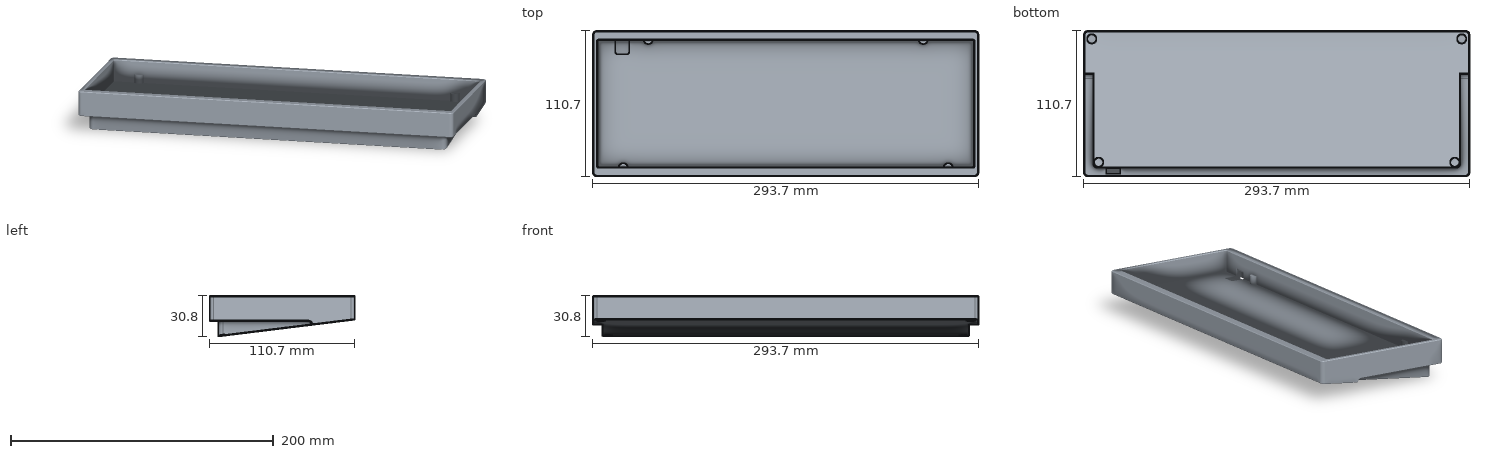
import cadquery as cq
import math

length = 293.7
width = 110.7
height = 30.82
corner_radius = 3.0
edge_chamfer = 0.5
rear_body_height = 19.2

foot_side_inset = 7.0
foot_rear_inset = 6.5
foot_corner_radius = 3.5
foot_overlap = 8.0
tilt = math.radians(7.0)
recess_end_y = -22.5
recess_end_radius = 3.0

side_wall = 3.5
end_wall = 7.0
cavity_depth = 17.0
cavity_corner_radius = 1.0

post_diameter = 7.0
post_edge_distance = 6.5
post_height = 6.5
rear_post_x = 104.75
front_post_x = 123.75

port_width = 10.7
port_x = -124.5
port_reach = 10.8
port_floor_drop = 1.0
port_recess_height = 6.0
port_recess_depth = 1.0
duct_height = 4.5
duct_depth = 4.5
port_corner_radius = 2.0

pad_diameter = 7.0
pad_depth = 1.0
front_pad_margin = 6.0
rear_pad_margin = 4.2

half_width = width / 2
floor_z = height - cavity_depth
overhang_z = height - rear_body_height
foot_rear_y = half_width - foot_rear_inset
cavity_rear_y = half_width - end_wall
foot_front_y = recess_end_y - foot_overlap
base_rear_y = foot_rear_y - edge_chamfer * math.cos(tilt)


def upright_block(x_size, y_range, z_range, radius):
    """Block centred on X with all four upright edges rounded."""
    y_min, y_max = y_range
    z_min, z_max = z_range
    return (
        cq.Workplane("XY", origin=(0, (y_min + y_max) / 2, z_min))
        .rect(x_size, y_max - y_min)
        .extrude(z_max - z_min)
        .edges("|Z")
        .fillet(radius)
    )


def make_below_slope():
    """Everything under the sloping base plane, which meets Z = 0 at the foot's rear chamfer."""
    front_z = (base_rear_y + half_width) * math.tan(tilt)
    rear_z = (base_rear_y - half_width) * math.tan(tilt)
    profile = [
        (-half_width, front_z),
        (half_width, rear_z),
        (half_width, -height),
        (-half_width, -height),
    ]
    return cq.Workplane("YZ").polyline(profile).close().extrude(length, both=True)


def make_rear_recess():
    """Space under the flat rear underside, with a rounded step at its front end."""
    return (
        cq.Workplane("YZ")
        .moveTo(recess_end_y, -height)
        .lineTo(width, -height)
        .lineTo(width, overhang_z)
        .lineTo(recess_end_y + recess_end_radius, overhang_z)
        .radiusArc((recess_end_y, overhang_z - recess_end_radius), -recess_end_radius)
        .close()
        .extrude(length, both=True)
    )


def make_body():
    """Main case with chamfered upper and lower outlines, without the foot."""
    block = upright_block(length, (-half_width, half_width), (0, height), corner_radius)
    body = block.cut(make_rear_recess()).cut(make_below_slope())
    return body.edges("not |Z").chamfer(edge_chamfer)


def make_foot():
    """Wedge foot that carries the sloping base on to the rear, chamfered along its base."""
    foot = upright_block(
        length - 2 * foot_side_inset,
        (foot_front_y, foot_rear_y),
        (-edge_chamfer, overhang_z),
        foot_corner_radius,
    ).cut(make_below_slope())
    return foot.faces("<Z").chamfer(edge_chamfer)


def make_cavity():
    """Tray opening above the floor."""
    return upright_block(
        length - 2 * side_wall,
        (-cavity_rear_y, cavity_rear_y),
        (floor_z, height),
        cavity_corner_radius,
    )


def make_posts():
    """Round posts that stand on the floor, about half of each buried in a long wall."""
    post_y = half_width - post_edge_distance
    centers = []
    for side in (-1, 1):
        centers.append((side * rear_post_x, post_y))
        centers.append((side * front_post_x, -post_y))
    return (
        cq.Workplane("XY", origin=(0, 0, floor_z))
        .pushPoints(centers)
        .circle(post_diameter / 2)
        .extrude(post_height)
    )


def make_port():
    """Floor pocket running into the rear wall, with a duct that opens downwards behind the foot."""
    pocket_length = port_reach + port_recess_depth
    pocket_front_y = cavity_rear_y - port_reach
    pocket = (
        cq.Workplane("XY", origin=(0, pocket_front_y + pocket_length / 2, floor_z - port_floor_drop))
        .rect(port_width, pocket_length)
        .extrude(port_floor_drop + port_recess_height)
        .edges("|Z and <Y")
        .fillet(port_corner_radius)
    )
    duct = (
        cq.Workplane("XY", origin=(0, foot_rear_y + duct_depth / 2, 0))
        .rect(port_width, duct_depth)
        .extrude(floor_z + duct_height)
    )
    return pocket.union(duct).translate((port_x, 0, 0))


def make_pad_recesses():
    """Four round recesses sunk square to the sloping base."""
    front_x = length / 2 - front_pad_margin
    front_y = front_pad_margin - half_width
    rear_x = length / 2 - foot_side_inset - rear_pad_margin
    rear_y = foot_rear_y - rear_pad_margin
    recesses = cq.Workplane("XY")
    up = cq.Vector(0, math.sin(tilt), math.cos(tilt))
    for x, y in ((front_x, front_y), (rear_x, rear_y)):
        base_z = (base_rear_y - y) * math.tan(tilt)
        for side in (-1, 1):
            center = cq.Vector(side * x, y, base_z)
            recesses = recesses.add(cq.Solid.makeCylinder(pad_diameter / 2, pad_depth, center, up))
    return recesses.combine()


def chamfer_tray_rim(case):
    """Break the inner edge of the rim, which is the shorter outline of the top face."""
    rim = case.faces(">Z").wires(cq.selectors.LengthNthSelector(0))
    return rim.edges().chamfer(edge_chamfer)


tray = chamfer_tray_rim(make_body().union(make_foot()).cut(make_cavity()))
result = tray.union(make_posts()).cut(make_port()).cut(make_pad_recesses())